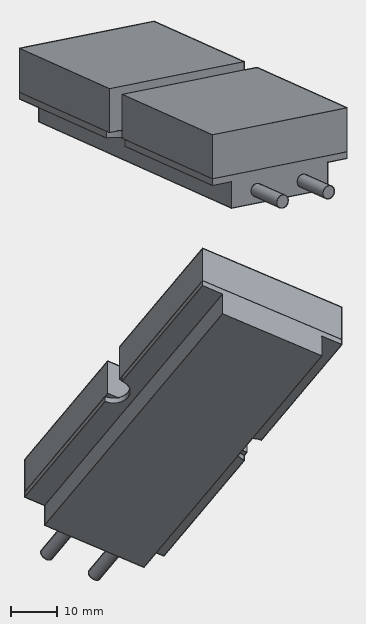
import cadquery as cq

total_length = 85.0
total_height = 17.5
width = 35.0

pin_length = 10.0
pin_diameter = 3.0
pin_spacing = 12.0
rail_width = 25.0
rail_height = 6.0
plate_thickness = 1.5
notch_radius = 3.6
base_length = total_length - pin_length
plate_top = rail_height + plate_thickness

block_length = width
block_height = total_height - plate_top
block_offset = (base_length - block_length) / 2


def box_on(bottom, length, box_width, height):
    """Box centred on the Z axis, standing at the given height."""
    return (
        cq.Workplane("XY")
        .workplane(offset=bottom)
        .box(length, box_width, height, centered=(True, True, False))
    )


def make_plate():
    """Full-width plate with a half-round notch in the middle of each long edge."""
    plate = box_on(rail_height, base_length, width, plate_thickness)
    notches = (
        cq.Workplane("XY")
        .workplane(offset=rail_height)
        .pushPoints([(0, -width / 2), (0, width / 2)])
        .circle(notch_radius)
        .extrude(plate_thickness)
    )
    return plate.cut(notches)


def make_pins():
    """Two round pins standing out of the rail's +X end at half its height."""
    return (
        cq.Workplane("YZ", origin=(base_length / 2, 0, rail_height / 2))
        .pushPoints([(-pin_spacing / 2, 0), (pin_spacing / 2, 0)])
        .circle(pin_diameter / 2)
        .extrude(pin_length)
    )


def make_base():
    """Rail, plate and pins as a single body."""
    rail = box_on(0, base_length, rail_width, rail_height)
    return rail.union(make_plate()).union(make_pins())


def make_block(center_x):
    """Rectangular pad resting on the plate."""
    block = box_on(plate_top, block_length, width, block_height)
    return block.translate((center_x, 0, 0))


base = make_base()
blocks = [make_block(side * block_offset) for side in (-1, 1)]

result = cq.Compound.makeCompound([base.solids().val(), *[block.val() for block in blocks]])